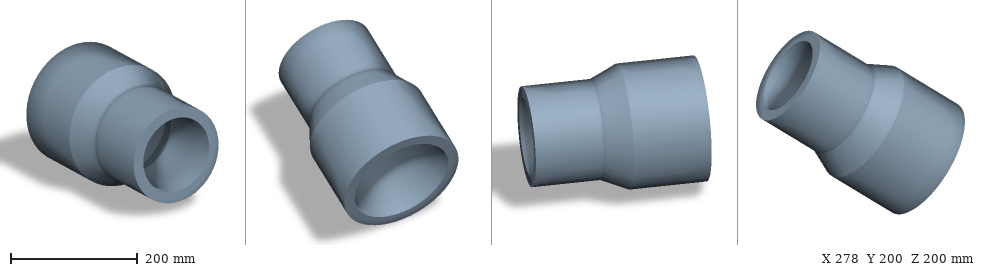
import cadquery as cq

total_length = 278.0
large_length = 124.0
small_length = 110.0
large_outer_diameter = 200.0
large_bore_diameter = 163.5
small_outer_diameter = 160.0
small_bore_diameter = 123.7

large_end_x = -total_length / 2
cone_start_x = large_end_x + large_length
small_end_x = total_length / 2
cone_end_x = small_end_x - small_length


def stepped_cone(large_diameter, small_diameter):
    """Solid of revolution about X: large cylinder, cone, small cylinder."""
    large_radius = large_diameter / 2
    small_radius = small_diameter / 2
    half_profile = (
        cq.Workplane("XY")
        .moveTo(large_end_x, 0)
        .lineTo(large_end_x, large_radius)
        .lineTo(cone_start_x, large_radius)
        .lineTo(cone_end_x, small_radius)
        .lineTo(small_end_x, small_radius)
        .lineTo(small_end_x, 0)
        .close()
    )
    return half_profile.revolve(360, (0, 0, 0), (1, 0, 0))


outer_body = stepped_cone(large_outer_diameter, small_outer_diameter)
bore = stepped_cone(large_bore_diameter, small_bore_diameter)

result = outer_body.cut(bore)